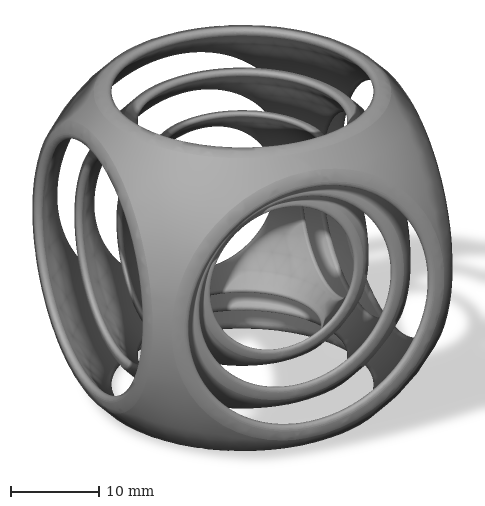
import cadquery as cq
import math

cube_size = 38.0
outer_radius = 25.0
wall_thickness = 1.5
outer_rim_fillet = 2.0
inner_rim_fillet = 0.5

middle_scale = 0.8
inner_scale = 0.6


def rounded_shell(scale):
    """Spherical shell with six round windows and rounded rims, centred on the origin."""
    size = cube_size * scale
    radius = outer_radius * scale
    cavity_radius = radius - wall_thickness * scale
    ball = cq.Workplane("XY").sphere(radius).intersect(cq.Workplane("XY").box(size, size, size))
    cavity = cq.Workplane("XY").sphere(cavity_radius)
    shell = ball.cut(cavity)

    window_radius = math.sqrt(cavity_radius**2 - (size / 2) ** 2)
    rim_outer_radius = math.sqrt(radius**2 - (size / 2) ** 2)
    rim_middle = (window_radius + rim_outer_radius) / 2
    outer_edges = [e for e in shell.edges("%CIRCLE").vals() if e.radius() > rim_middle]
    shell = shell.newObject(outer_edges).fillet(outer_rim_fillet * scale)
    inner_edges = [e for e in shell.edges("%CIRCLE").vals() if e.radius() < rim_middle]
    return shell.newObject(inner_edges).fillet(inner_rim_fillet * scale)


outer_shell = rounded_shell(1.0)
middle_shell = rounded_shell(middle_scale)
inner_shell = rounded_shell(inner_scale)

result = cq.Compound.makeCompound([outer_shell.val(), middle_shell.val(), inner_shell.val()])